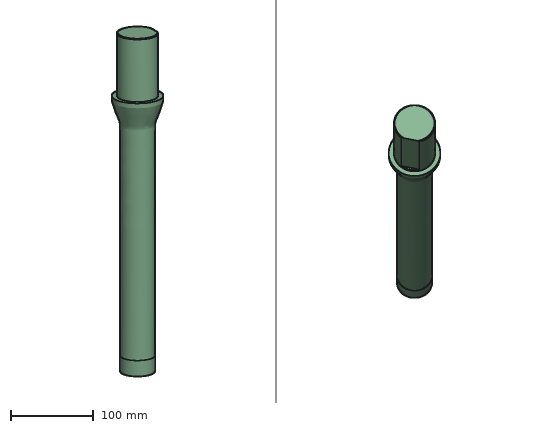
import cadquery as cq
import math


total_length = 429.98
shank_length = 80.0

shank_diameter = 49.99
shank_end_chamfer = 1.0
flat_distance = 22.4
flat_end_above_collar = 3.5

collar_diameter = 62.5
collar_thickness = 6.0

flare_length = 31.0
flare_inflection_height = 7.5
flare_inflection_radius = 23.0
flare_inflection_angle = 22.0
flare_top_angle = 13.0

guide_diameter = 42.9
guide_length = 5.5
neck_diameter = 42.46
neck_taper_length = 120.0
neck_step_length = 2.5

cutter_length = 21.0
tip_corner_radius = 1.2
tip_cone_height = 0.3

shank_radius = shank_diameter / 2
collar_radius = collar_diameter / 2
guide_radius = guide_diameter / 2
neck_radius = neck_diameter / 2

collar_top = total_length - shank_length
collar_bottom = collar_top - collar_thickness
flare_bottom = collar_bottom - flare_length
guide_bottom = flare_bottom - guide_length
neck_taper_bottom = guide_bottom - neck_taper_length
neck_bottom = cutter_length + neck_step_length


def revolve_about_z(profile):
    """Turn a closed half profile (radius, height) into a solid around Z."""
    return profile.revolve(360, (0, 0, 0), (0, 1, 0))


def profile_direction(angle_from_axis):
    """Upward profile direction that leans outward by an angle in degrees."""
    angle = math.radians(angle_from_axis)
    return (math.sin(angle), math.cos(angle))


def make_shank_flat():
    """Block that cuts the clamping flat on the +Y side of the shank."""
    block_size = shank_diameter
    return (
        cq.Workplane("XY", origin=(0, flat_distance, collar_top + flat_end_above_collar))
        .box(block_size, block_size, shank_length, centered=(True, False, False))
    )


def make_holder():
    """Shank, collar, flare, guide and tapered neck in one turned solid."""
    flare_inflection = (flare_inflection_radius, flare_bottom + flare_inflection_height)
    flare_top = (collar_radius, collar_bottom)
    flare_tangents = [
        profile_direction(angle)
        for angle in (0, flare_inflection_angle, flare_top_angle)
    ]
    profile = (
        cq.Workplane("XZ")
        .moveTo(0, cutter_length)
        .lineTo(guide_radius, cutter_length)
        .lineTo(neck_radius, neck_bottom)
        .lineTo(neck_radius, neck_taper_bottom)
        .lineTo(guide_radius, guide_bottom)
        .lineTo(guide_radius, flare_bottom)
        .spline([flare_inflection, flare_top], tangents=flare_tangents, includeCurrent=True)
        .lineTo(collar_radius, collar_top)
        .lineTo(shank_radius, collar_top)
        .lineTo(shank_radius, total_length - shank_end_chamfer)
        .lineTo(shank_radius - shank_end_chamfer, total_length)
        .lineTo(0, total_length)
        .close()
    )
    return revolve_about_z(profile).cut(make_shank_flat())


def make_cutter():
    """Cylindrical cutting end with a very flat conical tip and a rounded corner."""
    profile = (
        cq.Workplane("XZ")
        .lineTo(guide_radius, tip_cone_height)
        .lineTo(guide_radius, cutter_length)
        .lineTo(0, cutter_length)
        .close()
    )
    return revolve_about_z(profile).edges("%CIRCLE").edges("<Z").fillet(tip_corner_radius)


holder = make_holder()
cutter = make_cutter()

result = cq.Compound.makeCompound([holder.val(), cutter.val()])